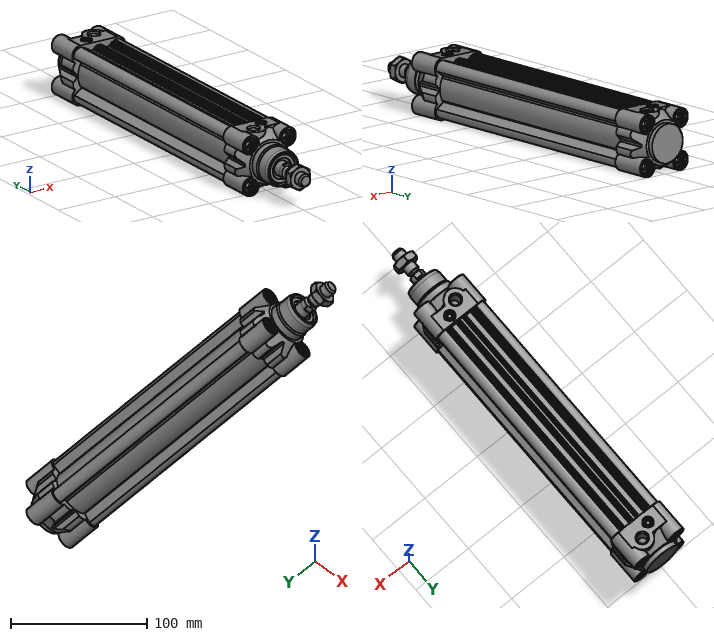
import cadquery as cq
import math


total_length = 306.0
collar_length = 4.0
front_cap_length = 25.5
rear_cap_length = 27.2
front_cap_face = 48.7
front_cap_back = front_cap_face + front_cap_length
rear_cap_face = total_length - collar_length
rear_cap_back = rear_cap_face - rear_cap_length

cap_width = 47.0
tie_offset = 16.2
corner_radius = cap_width / 2 - tie_offset
corner_points = [(x, z) for x in (-tie_offset, tie_offset) for z in (-tie_offset, tie_offset)]
core_top = 22.3
lobe_root = (20.8, 10.5)
lobe_peak = (22.5, 6.7)
groove_depth = 3.5
groove_floor = (19.0, 1.0)
groove_edge = (groove_floor[0] + groove_depth, groove_floor[1] + groove_depth)

taper_end_radius = 17.0
taper_radius = 24.0
taper_length = 12.0

pad_width = 32.7
pad_setback = 11.0
pad_base = 15.3
pad_top = cap_width / 2
port_x = 5.5
port_setback = 12.5
boss_radius = 9.0
port_mouth_diameter = 10.0
port_diameter = 8.0
port_mouth_depth = 1.2
sleeve_diameter = 22.0
needle_setback = 19.3
needle_hole_diameter = 8.5
needle_diameter = 7.0
needle_rim_diameter = 5.0
needle_socket_diameter = 3.5
needle_hole_depth = 2.5
needle_head_drop = 1.0
needle_rim_depth = 0.5
needle_socket_depth = 1.0

screw_mouth_radius = 12.0 / 2
screw_recess_radius = 5.2
screw_head_radius = 4.5
screw_hole_mouth_radius = 3.0
screw_hole_radius = 2.5
screw_mouth_depth = 1.0
screw_recess_depth = 1.8
screw_head_depth = 2.8
screw_hole_mouth_depth = 3.5
screw_hole_depth = 5.5
screw_point_depth = 7.0

collar_radius = 30.0 / 2
nose_radius = 28.5 / 2
nose_end_radius = 27.0 / 2
collar_end = 42.8
nose_start = 41.3
nose_chamfer_start = 33.0
nose_face = 30.0
wiper_mouth_radius = 12.2
wiper_mouth_depth = 1.0
wiper_recess_radius = 22.0 / 2
wiper_recess_depth = 1.5
wiper_gap_radius = 8.3
wiper_gap_depth = 3.0

barrel_half_width = 22.0
barrel_corner_radius = barrel_half_width - tie_offset
facet_outer = 14.5
facet_root = (15.0, 9.8)
barrel_radius = 18.5
barrel_arc_edge = 8.5
top_land_drop = 1.0
slot_spacing = 13.8
slot_floor_half_width = 2.3
slot_floor_height = 17.7
slot_step_width = 1.13
slot_step_height = 1.0
slot_steps = 3

rod_radius = 12.0 / 2
thread_radius = 10.0 / 2
neck_radius = 8.0 / 2
tip_chamfer_length = 1.8
neck_start = 19.5
neck_end = 21.5
rod_shoulder = 23.0
key_radius = 11.5 / 2
key_flats = 10.0
key_end = 26.5
key_chamfer = 0.5

nut_start = 7.3
nut_thickness = 6.0
nut_flats = 17.0
nut_corners = nut_flats / math.cos(math.pi / 6)
nut_chamfer = 0.75


def along_y(radius, start, end):
    """Solid cylinder on the main axis from Y = start to Y = end."""
    return cq.Workplane("XZ", origin=(0, start, 0)).circle(radius).extrude(start - end)


def turned(points):
    """Solid of revolution about the Y axis from (radius, Y) points."""
    return cq.Workplane("XY").polyline(points).close().revolve(360, (0, 0, 0), (0, 1, 0))


def upright(diameter, x, y, bottom, top):
    """Vertical cylinder between two heights."""
    cylinder = cq.Workplane("XY", origin=(x, y, bottom)).circle(diameter / 2)
    return cylinder.extrude(top - bottom)


def rotated(point, quarter_turns):
    """Section point turned clockwise about the axis by quarter turns."""
    x, z = point
    for _ in range(quarter_turns):
        x, z = z, -x
    return (x, z)


def mirrored(point):
    """Section point mirrored across Z = 0."""
    return (point[0], -point[1])


def cap_core(length):
    core = cq.Workplane("XZ").moveTo(-tie_offset, core_top).lineTo(tie_offset, core_top)
    for quarter_turns in range(3):
        core = (
            core.lineTo(*rotated((tie_offset, tie_offset), quarter_turns))
            .lineTo(*rotated(lobe_root, quarter_turns))
            .threePointArc(rotated(lobe_peak, quarter_turns), rotated(groove_edge, quarter_turns))
            .lineTo(*rotated(groove_floor, quarter_turns))
            .lineTo(*rotated(mirrored(groove_floor), quarter_turns))
            .lineTo(*rotated(mirrored(groove_edge), quarter_turns))
            .threePointArc(
                rotated(mirrored(lobe_peak), quarter_turns),
                rotated(mirrored(lobe_root), quarter_turns),
            )
        )
    core = core.lineTo(-tie_offset, tie_offset).close().extrude(length)
    envelope_radius = cap_width
    envelope = turned([
        (0, 0),
        (taper_end_radius, 0),
        (taper_radius, -taper_length),
        (envelope_radius, -taper_length),
        (envelope_radius, -length),
        (0, -length),
    ])
    return core.intersect(envelope)


def connection_pad(length):
    centre = (0, -(length + pad_setback) / 2, (pad_base + pad_top) / 2)
    pad = cq.Workplane("XY", origin=centre).box(pad_width, length - pad_setback, pad_top - pad_base)
    return pad.union(upright(2 * boss_radius, port_x, -port_setback, pad_base, pad_top))


def port_cutter(length):
    bore = upright(port_diameter, port_x, -port_setback, 0, pad_top)
    mouth_base = cq.Workplane("XY", origin=(port_x, -port_setback, pad_top))
    mouth = mouth_base.circle(port_mouth_diameter / 2).workplane(offset=-port_mouth_depth)
    mouth = mouth.circle(port_diameter / 2).loft()
    return bore.union(mouth).cut(along_y(sleeve_diameter / 2, -length, 0))


def needle_cutter():
    head = pad_top - needle_head_drop
    floor = pad_top - needle_hole_depth
    rim = head - needle_rim_depth
    socket_floor = rim - needle_socket_depth
    hole = upright(needle_hole_diameter, -port_x, -needle_setback, floor, pad_top)
    hole = hole.cut(upright(needle_diameter, -port_x, -needle_setback, floor, head))
    hole = hole.union(upright(needle_rim_diameter, -port_x, -needle_setback, rim, head))
    return hole.union(upright(needle_socket_diameter, -port_x, -needle_setback, socket_floor, rim))


def screw_recess(x, z):
    profile = [
        (0, 0),
        (screw_mouth_radius, 0),
        (screw_recess_radius, -screw_mouth_depth),
        (screw_recess_radius, -screw_recess_depth),
        (screw_head_radius, -screw_head_depth),
        (screw_hole_mouth_radius, -screw_head_depth),
        (screw_hole_radius, -screw_hole_mouth_depth),
        (screw_hole_radius, -screw_hole_depth),
        (0, -screw_point_depth),
    ]
    return turned(profile).translate((x, 0, z))


def make_cap(length):
    cap = cap_core(length)
    corners = cq.Workplane("XZ").pushPoints(corner_points).circle(corner_radius).extrude(length)
    cap = cap.union(corners).union(connection_pad(length))
    cap = cap.cut(port_cutter(length)).cut(needle_cutter())
    for x, z in corner_points:
        cap = cap.cut(screw_recess(x, z))
    return cap


def make_rear_cap():
    cap = make_cap(rear_cap_length).translate((0, rear_cap_face, 0))
    return cap.union(along_y(collar_radius, rear_cap_face, total_length))


def make_front_cap():
    cap = make_cap(front_cap_length).rotate((0, 0, 0), (0, 0, 1), 180)
    cap = cap.translate((0, front_cap_face, 0))
    nose = turned([
        (0, front_cap_face),
        (collar_radius, front_cap_face),
        (collar_radius, collar_end),
        (nose_radius, nose_start),
        (nose_radius, nose_chamfer_start),
        (nose_end_radius, nose_face),
        (0, nose_face),
    ])
    wiper_recess = turned([
        (0, nose_face),
        (wiper_mouth_radius, nose_face),
        (wiper_recess_radius, nose_face + wiper_mouth_depth),
        (wiper_recess_radius, nose_face + wiper_recess_depth),
        (wiper_gap_radius, nose_face + wiper_recess_depth),
        (wiper_gap_radius, nose_face + wiper_gap_depth),
        (0, nose_face + wiper_gap_depth),
    ])
    return cap.union(nose).cut(wiper_recess).cut(along_y(rod_radius, nose_face, front_cap_back))


def slot_cutter(x, length):
    """Sensor slot that widens upwards in equal steps."""
    cutter = None
    for step in range(slot_steps + 1):
        width = 2 * (slot_floor_half_width + step * slot_step_width)
        floor = slot_floor_height + step * slot_step_height
        height = cap_width / 2 - floor
        level = cq.Workplane("XY", origin=(x, length / 2, floor + height / 2)).box(width, length, height)
        cutter = level if cutter is None else cutter.union(level)
    return cutter


def make_barrel():
    length = rear_cap_back - front_cap_back
    facet_top = tie_offset + math.sqrt(barrel_corner_radius**2 - (tie_offset - facet_outer) ** 2)
    facet_edge = (facet_top, facet_outer)
    arc_edge = (math.sqrt(barrel_radius**2 - barrel_arc_edge**2), barrel_arc_edge)
    corner_middle = tie_offset + barrel_corner_radius * math.sqrt(0.5)
    land_edge = facet_outer - top_land_drop
    land_height = facet_top - top_land_drop

    outline = cq.Workplane("XZ").moveTo(-facet_outer, facet_top).lineTo(-land_edge, land_height)
    outline = outline.lineTo(land_edge, land_height).lineTo(facet_outer, facet_top)
    for quarter_turns in range(3):
        outline = (
            outline.threePointArc(
                rotated((corner_middle, corner_middle), quarter_turns),
                rotated(facet_edge, quarter_turns),
            )
            .lineTo(*rotated(facet_root, quarter_turns))
            .lineTo(*rotated(arc_edge, quarter_turns))
            .threePointArc(
                rotated((barrel_radius, 0), quarter_turns),
                rotated(mirrored(arc_edge), quarter_turns),
            )
            .lineTo(*rotated(mirrored(facet_root), quarter_turns))
            .lineTo(*rotated(mirrored(facet_edge), quarter_turns))
        )
    outline = outline.threePointArc((-corner_middle, corner_middle), (-facet_outer, facet_top))
    barrel = outline.close().extrude(-length)
    for x in (-slot_spacing / 2, slot_spacing / 2):
        barrel = barrel.cut(slot_cutter(x, length))
    return barrel.translate((0, front_cap_back, 0))


def make_rod():
    rod = turned([
        (0, 0),
        (neck_radius, 0),
        (thread_radius, tip_chamfer_length),
        (thread_radius, neck_start),
        (neck_radius, neck_start),
        (neck_radius, neck_end),
        (key_radius, rod_shoulder),
        (key_radius, key_end),
        (rod_radius, key_end + key_chamfer),
        (rod_radius, front_cap_back),
        (0, front_cap_back),
    ])
    key_centre = (0, (neck_end + key_end) / 2, 0)
    key = cq.Workplane("XY", origin=key_centre).box(2 * key_radius, key_end - neck_end, key_flats)
    return rod.cut(along_y(rod_radius, neck_end, key_end).cut(key))


def make_nut():
    hexagon = cq.Workplane("XZ").polygon(6, nut_corners).extrude(-nut_thickness)
    hexagon = hexagon.rotate((0, 0, 0), (0, 1, 0), 30)
    face_radius = nut_flats / 2
    cone_radius = nut_corners / 2
    envelope = turned([
        (0, 0),
        (face_radius, 0),
        (cone_radius, nut_chamfer),
        (cone_radius, nut_thickness - nut_chamfer),
        (face_radius, nut_thickness),
        (0, nut_thickness),
    ])
    nut = hexagon.intersect(envelope).cut(along_y(thread_radius, 0, nut_thickness))
    return nut.translate((0, nut_start, 0))


front_cap = make_front_cap()
rear_cap = make_rear_cap()
barrel = make_barrel()
rod = make_rod()
nut = make_nut()

result = cq.Compound.makeCompound([front_cap.val(), rear_cap.val(), barrel.val(), rod.val(), nut.val()])